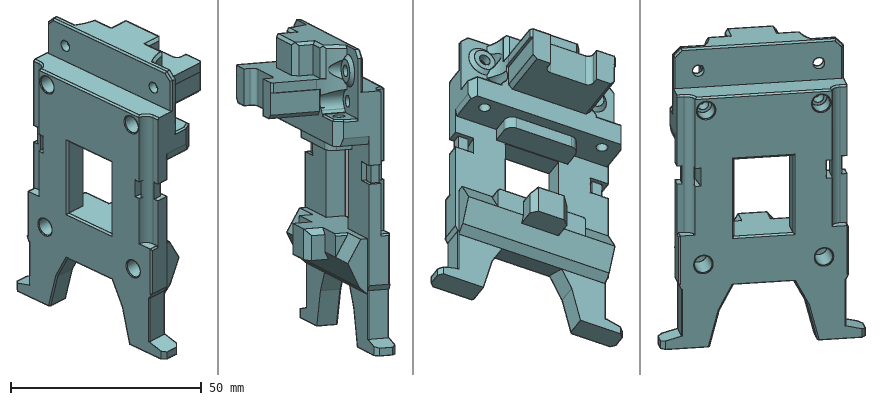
import cadquery as cq

HEIGHT = 81.2
FOOT_SPAN = 54.7
BODY_HALF = 22.7
PLATE_T = 5.9
EDGE = 0.4

LEG_HALF = 21.9
LEG_EDGE = 0.25
LEG_TOP_Z = 16.6
LEG_BLEND_Z = 18.0
FOOT_HALF = FOOT_SPAN / 2
FOOT_ROOT_Z = 3.5
FOOT_TIP_Z = 2.1
FOOT_BEVEL = 1.1
ARCH_POINTS = [(14.4, 0.0), (11.8, 10.0), (8.0, 17.1)]

STEP_Z = 70.1
STEP_BEVEL = 0.5
HEAD_BOTTOM_Z = 56.0
FLANGE_FRONT_Y = 7.6
FLANGE_BACK_Y = 9.1
FLANGE_CORNER = 2.0
FLANGE_EDGE = 0.6
FLANGE_HOLE_X = 16.1
FLANGE_HOLE_Z = 74.7
FLANGE_HOLE_D = 3.1
BOSS_BASE_D = 8.6
BOSS_TIP_D = 6.2
BOSS_H = 0.9
FLANGE_HEAD_D = 6.1

TAB_TOP_Z = 63.0
TAB_BACK_Y = 15.7
TAB_CORNER_X = 1.4
TAB_CORNER_Y = 2.5
TAB_UNDERCUT_X = 0.4
TAB_UNDERCUT_Z = 2.1
TAB_EDGE = 0.6
TAB_HOLE_X = 17.4
TAB_HOLE_Y = 12.35
TAB_HOLE_D = 3.1

FLANK_ROOT_X = 15.0
FLANK_MID = (13.3, 12.6)
FLANK_END_Y = 16.7
FLANK_BACK_X = 12.8
BLOCK_BACK_Y = 15.4
BLOCK_CORNER = 1.2
BLOCK_EDGE = 0.8
SCOOP_SIDE_X = 12.9
SCOOP_SIDE_Z = 64.6
SCOOP_FOOT_X = 14.0
SCOOP_FOOT_Z = 63.2
TONGUE_HALF = 6.8
TONGUE_BACK_Y = 20.95
TONGUE_CORNER = 1.55
CLAMP_HALF = 12.7
CLAMP_NECK_HALF = 12.0
CLAMP_BACK_Y = 29.6
CLAMP_NECK_TOP_Z = 69.5
CLAMP_TOP_Z = 72.3
CLAMP_BOTTOM_Z = 62.4
CLAMP_CORNER = 0.65
CLAMP_BOTTOM_BEVEL = 1.1
CLAMP_NOTCH_Y = 26.2
CLAMP_NOTCH_R = 1.6

UPPER_HOLE_X = 15.35
UPPER_HOLE_Z = 66.4
UPPER_HOLE_D = 3.1
UPPER_HEAD_D = 6.2
LOWER_HOLE_X = 16.1
LOWER_HOLE_Z = 23.2
LOWER_HOLE_DEPTH = 8.1
POCKET_D = 4.7
POCKET_DEPTH = 4.9
POCKET_BEVEL = 0.25

WINDOW_HALF = 7.9
WINDOW_BOTTOM_Z = 30.5
WINDOW_TOP_Z = 52.1
WINDOW_BEVEL = 0.5

CHANNEL_R = 2.5
CHANNEL_X = 20.8
CHANNEL_BOTTOM_Z = 31.6
TIE_BOTTOM_Z = 45.25
TIE_TOP_Z = 50.3
TIE_NOTCH_X = 21.3
TIE_SLOT_FRONT_X = 16.7
TIE_SLOT_BACK_X = 17.3
TIE_SLOT_OUTER_X = 18.35
TIE_RECESS_Y = 4.9

RIDGE_Y = 11.5
RIDGE_BLOCK_EDGE = 0.6
RIDGE_Z = 24.2
RIDGE_KNEE = (8.2, 17.5)
RIDGE_FOOT_Z = 15.5
RIDGE_SHOULDER_Y = 7.9
RIDGE_BLOCK_HALF = 13.0
STUD_HALF = 5.45
STUD_BACK_Y = 16.9
STUD_BOTTOM_Z = 22.2
STUD_BEVEL = 1.6
LINTEL_HALF = 10.6
LINTEL_BACK_Y = 12.7
LINTEL_BOTTOM_Z = 52.3
LINTEL_R = 2.4


def box(x0, x1, y0, y1, z0, z1):
    """Axis-aligned block between two corners."""
    return cq.Workplane("XY").box(x1 - x0, y1 - y0, z1 - z0, centered=False).translate((x0, y0, z0))


def mirrored_outline(half):
    """Close a right-hand half outline by mirroring it in X."""
    return half + [(-x, z) for x, z in reversed(half)]


def front_prism(points, y0, y1):
    """Extrude an XZ outline from y0 to y1."""
    return cq.Workplane("XZ", origin=(0, y0, 0)).polyline(points).close().extrude(y0 - y1)


def side_prism(points, half):
    """Extrude a YZ outline symmetrically to +-half in X."""
    return cq.Workplane("YZ").polyline(points).close().extrude(half, both=True)


def rod_y(x, z, d, y0, y1):
    """Cylinder along Y."""
    return cq.Workplane("XZ", origin=(x, y0, z)).circle(d / 2).extrude(y0 - y1)


def both_sides(shape):
    """The shape together with its mirror image in X."""
    return shape.union(shape.mirror("YZ"))


def top_prism(points, z0, z1):
    """Extrude an XY outline from z0 to z1."""
    return cq.Workplane("XY", origin=(0, 0, z0)).polyline(points).close().extrude(z1 - z0)


def make_plate():
    """Plate with legs and feet, and the arch cut out between the legs."""
    half = [
        (0, 0),
        (FOOT_HALF, 0),
        (FOOT_HALF, FOOT_TIP_Z),
        (LEG_HALF, FOOT_ROOT_Z),
        (LEG_HALF, LEG_TOP_Z),
        (BODY_HALF, LEG_BLEND_Z),
        (BODY_HALF, STEP_Z),
        (0, STEP_Z),
    ]
    outline = half + [(-x, z) for x, z in half[-2:0:-1]]
    plate = front_prism(outline, 0, PLATE_T)
    plate = plate.faces("<X or >X").edges("|Z").chamfer(FOOT_BEVEL)
    arch = front_prism(mirrored_outline(ARCH_POINTS), 0, PLATE_T)
    plate = plate.cut(arch)
    arch_width = ARCH_POINTS[0][0]
    arch_flanks = cq.selectors.BoxSelector((-arch_width, -EDGE, EDGE), (arch_width, EDGE, LEG_TOP_Z))
    plate = plate.edges(arch_flanks).chamfer(EDGE)
    leg_back = [(LEG_HALF, PLATE_T), (LEG_HALF - LEG_EDGE, PLATE_T), (LEG_HALF, PLATE_T - LEG_EDGE)]
    return plate.cut(both_sides(top_prism(leg_back, FOOT_ROOT_Z, LEG_TOP_Z)))


def make_ridge():
    """Stiffening ridge behind the plate, with a wide central block and a stud."""
    ridge = side_prism(
        [
            (0, ARCH_POINTS[-1][1]),
            (0, WINDOW_BOTTOM_Z),
            (RIDGE_SHOULDER_Y, WINDOW_BOTTOM_Z),
            (RIDGE_Y, RIDGE_Z),
            RIDGE_KNEE,
            (PLATE_T, RIDGE_FOOT_Z),
        ],
        LEG_HALF - LEG_EDGE,
    )
    block = box(-RIDGE_BLOCK_HALF, RIDGE_BLOCK_HALF, 0, RIDGE_Y, RIDGE_Z, WINDOW_BOTTOM_Z)
    block = block.faces(">Z").edges("|Y").chamfer(RIDGE_BLOCK_EDGE)
    stud = box(-STUD_HALF, STUD_HALF, PLATE_T, STUD_BACK_Y, STUD_BOTTOM_Z, WINDOW_BOTTOM_Z)
    stud = stud.edges("|Z and >Y").chamfer(STUD_BEVEL)
    stud = stud.faces(">Z").edges("|Y").chamfer(STUD_BEVEL)
    return ridge.union(block).union(stud)


def make_lintel():
    """Round-cornered boss above the window."""
    lintel = box(-LINTEL_HALF, LINTEL_HALF, 0, LINTEL_BACK_Y, LINTEL_BOTTOM_Z, HEAD_BOTTOM_Z)
    return lintel.edges("|Z and >Y").fillet(LINTEL_R)


def make_head():
    """Thick top of the body and the two rear tabs."""
    head = box(-BODY_HALF, BODY_HALF, 0, FLANGE_BACK_Y, HEAD_BOTTOM_Z, STEP_Z)
    tabs = box(-BODY_HALF, BODY_HALF, PLATE_T, TAB_BACK_Y, HEAD_BOTTOM_Z, TAB_TOP_Z)
    tab_corner = top_prism(
        [
            (BODY_HALF, TAB_BACK_Y - TAB_CORNER_Y),
            (BODY_HALF, TAB_BACK_Y),
            (BODY_HALF - TAB_CORNER_X, TAB_BACK_Y),
        ],
        HEAD_BOTTOM_Z,
        TAB_TOP_Z,
    )
    undercut = front_prism(
        [
            (BODY_HALF - TAB_UNDERCUT_X, HEAD_BOTTOM_Z),
            (BODY_HALF, HEAD_BOTTOM_Z),
            (BODY_HALF, HEAD_BOTTOM_Z + TAB_UNDERCUT_Z),
        ],
        PLATE_T,
        TAB_BACK_Y,
    )
    tabs = tabs.cut(both_sides(tab_corner))
    tabs = tabs.faces(">Z").edges("not <Y").chamfer(TAB_EDGE, EDGE)
    return head.union(tabs).cut(both_sides(undercut))


def make_flange():
    """Mounting flange on top, with a conical boss behind each of its holes."""
    flange = box(-BODY_HALF, BODY_HALF, FLANGE_FRONT_Y, FLANGE_BACK_Y, TAB_TOP_Z, HEIGHT)
    flange = flange.faces(">Z").edges("|Y").chamfer(FLANGE_CORNER)
    front_rim = flange.faces("<Y").edges("not <Z")
    flange = front_rim.chamfer(FLANGE_EDGE, EDGE)
    boss = (
        cq.Workplane("XZ", origin=(FLANGE_HOLE_X, FLANGE_BACK_Y, FLANGE_HOLE_Z))
        .circle(BOSS_BASE_D / 2)
        .workplane(offset=-BOSS_H)
        .circle(BOSS_TIP_D / 2)
        .loft()
    )
    return flange.union(both_sides(boss))


def make_centre_block():
    """Tall block behind the flange with its rear tongue; screw-head pockets scoop out its flanks."""
    front_y = FLANGE_FRONT_Y + FLANGE_EDGE
    flanks = (
        cq.Workplane("XY", origin=(0, 0, TAB_TOP_Z))
        .moveTo(-FLANK_ROOT_X, front_y)
        .lineTo(FLANK_ROOT_X, front_y)
        .lineTo(FLANK_ROOT_X, FLANGE_BACK_Y)
        .threePointArc(FLANK_MID, (CLAMP_HALF, FLANK_END_Y))
        .lineTo(-CLAMP_HALF, FLANK_END_Y)
        .threePointArc((-FLANK_MID[0], FLANK_MID[1]), (-FLANK_ROOT_X, FLANGE_BACK_Y))
        .close()
        .extrude(HEIGHT - TAB_TOP_Z)
    )
    behind_flanks = box(-FLANK_ROOT_X, FLANK_ROOT_X, BLOCK_BACK_Y, CLAMP_BACK_Y, CLAMP_TOP_Z, HEIGHT)
    tongue = box(-TONGUE_HALF, TONGUE_HALF, front_y, TONGUE_BACK_Y, CLAMP_TOP_Z, HEIGHT)
    behind_scoops = box(-FLANK_ROOT_X, FLANK_ROOT_X, TAB_BACK_Y, CLAMP_BACK_Y, TAB_TOP_Z, CLAMP_NECK_TOP_Z)
    block = flanks.cut(behind_flanks).cut(behind_scoops).union(tongue)
    block = block.faces(">Z").edges("not <Y").chamfer(BLOCK_EDGE)
    corners = [
        (TONGUE_HALF, TONGUE_BACK_Y, TONGUE_CORNER),
        (FLANK_BACK_X, BLOCK_BACK_Y, BLOCK_CORNER),
    ]
    for x, y, leg in corners:
        corner_outline = [(x, y - leg), (x + leg, y - leg), (x + leg, y), (x - leg, y)]
        corner = top_prism(corner_outline, CLAMP_TOP_Z, HEIGHT)
        block = block.cut(both_sides(corner))

    foot = box(-SCOOP_FOOT_X, SCOOP_FOOT_X, FLANGE_FRONT_Y, TAB_BACK_Y, HEAD_BOTTOM_Z, SCOOP_SIDE_Z)
    block = block.union(foot).union(make_clamp())
    flange_head = rod_y(FLANGE_HOLE_X, FLANGE_HOLE_Z, FLANGE_HEAD_D, FLANGE_BACK_Y, CLAMP_BACK_Y)
    scoop = rod_y(UPPER_HOLE_X, UPPER_HOLE_Z, UPPER_HEAD_D, FLANGE_BACK_Y, TAB_BACK_Y)
    scoop_ramp = front_prism(
        [
            (SCOOP_SIDE_X, SCOOP_SIDE_Z),
            (SCOOP_FOOT_X, SCOOP_FOOT_Z),
            (SCOOP_FOOT_X, TAB_TOP_Z),
            (BODY_HALF, TAB_TOP_Z),
            (BODY_HALF, SCOOP_SIDE_Z),
        ],
        FLANGE_BACK_Y,
        TAB_BACK_Y,
    )
    return block.cut(both_sides(flange_head)).cut(both_sides(scoop)).cut(both_sides(scoop_ramp))


def make_clamp():
    """Rear block: a narrow neck under a slightly wider cap, with a round-cornered notch in the back."""
    cap = box(-CLAMP_HALF, CLAMP_HALF, FLANK_END_Y, CLAMP_BACK_Y, CLAMP_NECK_TOP_Z, CLAMP_TOP_Z)
    cap = cap.edges("|Z and >Y").chamfer(CLAMP_CORNER)
    half = CLAMP_NECK_HALF
    neck = box(-half, half, FLANGE_BACK_Y, CLAMP_BACK_Y, CLAMP_BOTTOM_Z, CLAMP_NECK_TOP_Z)
    neck = neck.faces("<Z").edges("|Y").chamfer(CLAMP_BOTTOM_BEVEL)
    notch = box(-TONGUE_HALF, TONGUE_HALF, CLAMP_NOTCH_Y, CLAMP_BACK_Y, CLAMP_BOTTOM_Z, CLAMP_TOP_Z)
    notch = notch.edges("|Z and <Y").fillet(CLAMP_NOTCH_R)
    return cap.union(neck).cut(notch)


def make_window():
    """Cutter for the window, flared at the front face."""
    window = box(-WINDOW_HALF, WINDOW_HALF, 0, STUD_BACK_Y, WINDOW_BOTTOM_Z, WINDOW_TOP_Z)
    flare = (
        cq.Workplane("XZ", origin=(0, 0, (WINDOW_BOTTOM_Z + WINDOW_TOP_Z) / 2))
        .rect(2 * (WINDOW_HALF + WINDOW_BEVEL), WINDOW_TOP_Z - WINDOW_BOTTOM_Z + 2 * WINDOW_BEVEL)
        .workplane(offset=-WINDOW_BEVEL)
        .rect(2 * WINDOW_HALF, WINDOW_TOP_Z - WINDOW_BOTTOM_Z)
        .loft()
    )
    return window.union(flare)


def make_screw_pocket(x, z, depth):
    """Cutter for a blind round pocket in the front face with a bevelled rim."""
    rim = cq.Workplane("XZ", origin=(x, 0, z)).circle(POCKET_D / 2 + POCKET_BEVEL)
    rim = rim.workplane(offset=-POCKET_BEVEL).circle(POCKET_D / 2).loft()
    return rod_y(x, z, POCKET_D, 0, depth).union(rim)


def make_holes():
    """Cutter for the screw holes on one side of the part."""
    holes = make_screw_pocket(UPPER_HOLE_X, UPPER_HOLE_Z, POCKET_DEPTH)
    holes = holes.union(rod_y(UPPER_HOLE_X, UPPER_HOLE_Z, UPPER_HOLE_D, 0, FLANGE_BACK_Y))
    holes = holes.union(make_screw_pocket(LOWER_HOLE_X, LOWER_HOLE_Z, LOWER_HOLE_DEPTH))
    holes = holes.union(rod_y(FLANGE_HOLE_X, FLANGE_HOLE_Z, FLANGE_HOLE_D, 0, TAB_BACK_Y))
    tab_hole = cq.Workplane("XY", origin=(TAB_HOLE_X, TAB_HOLE_Y, HEAD_BOTTOM_Z))
    return holes.union(tab_hole.circle(TAB_HOLE_D / 2).extrude(TAB_TOP_Z - HEAD_BOTTOM_Z))


def channel_outline(radius, z):
    """Closed outline of a cable channel at height z: a flat outer step ending in a quarter round."""
    return (
        cq.Workplane("XY", origin=(0, 0, z))
        .moveTo(CHANNEL_X - radius, 0)
        .radiusArc((CHANNEL_X, radius), radius)
        .lineTo(BODY_HALF, radius)
        .lineTo(BODY_HALF, 0)
        .close()
    )


def make_channel():
    """Cutter for one cable channel, flared where it meets the step and bevelled at its floor."""
    channel = channel_outline(CHANNEL_R, CHANNEL_BOTTOM_Z).extrude(STEP_Z - CHANNEL_BOTTOM_Z)
    lower = channel_outline(CHANNEL_R, STEP_Z - STEP_BEVEL).wires().val()
    upper = channel_outline(CHANNEL_R + STEP_BEVEL, STEP_Z).wires().val()
    flare = cq.Workplane(cq.Solid.makeLoft([lower, upper], True))
    floor_bevel = front_prism(
        [
            (BODY_HALF - EDGE, CHANNEL_BOTTOM_Z),
            (BODY_HALF, CHANNEL_BOTTOM_Z),
            (BODY_HALF, CHANNEL_BOTTOM_Z - STEP_BEVEL),
        ],
        0,
        CHANNEL_R,
    )
    return channel.union(flare).union(floor_bevel)


def make_tie_slot():
    """Cutter for one cable-tie path: edge notch, inner slot and the recess joining them at the back."""
    notch = box(TIE_NOTCH_X, BODY_HALF, 0, PLATE_T, TIE_BOTTOM_Z, TIE_TOP_Z)
    recess = box(TIE_SLOT_BACK_X, BODY_HALF, TIE_RECESS_Y, PLATE_T, TIE_BOTTOM_Z, TIE_TOP_Z)
    slot = top_prism(
        [
            (TIE_SLOT_FRONT_X, 0),
            (TIE_SLOT_OUTER_X, 0),
            (TIE_SLOT_OUTER_X, PLATE_T),
            (TIE_SLOT_BACK_X, PLATE_T),
        ],
        TIE_BOTTOM_Z,
        TIE_TOP_Z,
    )
    return notch.union(recess).union(slot)


def make_front_bevels():
    """Cutter for the bevels on the front edges of the step, the flanks and the legs."""
    bevels = side_prism([(0, STEP_Z - STEP_BEVEL), (0, STEP_Z), (STEP_BEVEL, STEP_Z)], BODY_HALF)
    stretches = [
        (BODY_HALF, EDGE, LEG_BLEND_Z, STEP_Z),
        (LEG_HALF, LEG_EDGE, FOOT_ROOT_Z, LEG_TOP_Z),
    ]
    for x, bevel, z0, z1 in stretches:
        bevels = bevels.union(both_sides(top_prism([(x - bevel, 0), (x, 0), (x, bevel)], z0, z1)))
    return bevels


part = make_plate()
for piece in (make_ridge(), make_lintel(), make_head(), make_flange(), make_centre_block()):
    part = part.union(piece)

part = part.cut(make_window()).cut(make_front_bevels())
for cutter in (make_channel(), make_tie_slot(), make_holes()):
    part = part.cut(both_sides(cutter))

result = part